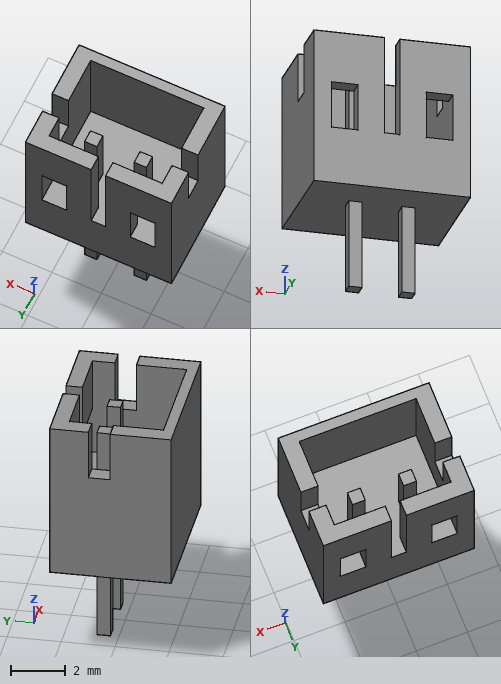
import cadquery as cq

WIDTH = 5.9
DEPTH = 4.5
TOTAL_HEIGHT = 9.4
TAIL_LENGTH = 3.4
HOUSING_HEIGHT = TOTAL_HEIGHT - TAIL_LENGTH
FLOOR_THICKNESS = 2.2
CAVITY_HEIGHT = HOUSING_HEIGHT - FLOOR_THICKNESS

SIDE_WALL = 0.67
FRONT_WALL = 0.4
BACK_WALL = 0.61
CAVITY_WIDTH = WIDTH - 2 * SIDE_WALL
CAVITY_DEPTH = DEPTH - FRONT_WALL - BACK_WALL
FRONT_Y = -DEPTH / 2
BACK_Y = DEPTH / 2

KEY_SLOT_WIDTH = 0.58
NOTCH_WIDTH = 0.8
NOTCH_DEPTH = 1.9
NOTCH_SETBACK = 1.44
NOTCH_BACK_Y = BACK_Y - NOTCH_SETBACK
WINDOW_WIDTH = 1.0
WINDOW_HEIGHT = 1.805

CONTACT_SIZE = 0.5
CONTACT_PITCH = 2.0
CONTACT_Y = NOTCH_BACK_Y - CONTACT_SIZE / 2
CONTACT_X_POSITIONS = (-CONTACT_PITCH / 2, CONTACT_PITCH / 2)
POST_TOP_GAP = 0.96
POST_LENGTH = CAVITY_HEIGHT - POST_TOP_GAP


def block(width, depth, height, x, y, bottom_z):
    """Box centred on (x, y) and standing on bottom_z."""
    solid = cq.Workplane("XY").box(width, depth, height, centered=(True, True, False))
    return solid.translate((x, y, bottom_z))


def make_cavity():
    center_y = FRONT_Y + FRONT_WALL + CAVITY_DEPTH / 2
    return block(CAVITY_WIDTH, CAVITY_DEPTH, CAVITY_HEIGHT, 0, center_y, FLOOR_THICKNESS)


def make_key_slot():
    """Slot through the back wall, from the rim down to the floor."""
    return block(KEY_SLOT_WIDTH, BACK_WALL, CAVITY_HEIGHT, 0, BACK_Y - BACK_WALL / 2, FLOOR_THICKNESS)


def make_side_notches():
    """One cut across the housing that notches both side walls."""
    center_y = NOTCH_BACK_Y - NOTCH_WIDTH / 2
    return block(WIDTH, NOTCH_WIDTH, NOTCH_DEPTH, 0, center_y, HOUSING_HEIGHT - NOTCH_DEPTH)


def make_back_window(side):
    """Window in the back wall at a cavity corner: side is -1 or +1 along X."""
    center_x = side * (CAVITY_WIDTH - WINDOW_WIDTH) / 2
    return block(WINDOW_WIDTH, BACK_WALL, WINDOW_HEIGHT, center_x, BACK_Y - BACK_WALL / 2, FLOOR_THICKNESS)


def make_housing():
    body = block(WIDTH, DEPTH, HOUSING_HEIGHT, 0, 0, 0)
    body = body.cut(make_cavity())
    body = body.cut(make_key_slot())
    body = body.cut(make_side_notches())
    for side in (-1, 1):
        body = body.cut(make_back_window(side))
    return body


def make_post(x):
    """Contact post standing on the cavity floor."""
    return block(CONTACT_SIZE, CONTACT_SIZE, POST_LENGTH, x, CONTACT_Y, FLOOR_THICKNESS)


def make_tail(x):
    """Solder tail hanging from the housing underside."""
    return block(CONTACT_SIZE, CONTACT_SIZE, TAIL_LENGTH, x, CONTACT_Y, -TAIL_LENGTH)


housing = make_housing()
posts = [make_post(x).val() for x in CONTACT_X_POSITIONS]
tails = [make_tail(x).val() for x in CONTACT_X_POSITIONS]

result = cq.Compound.makeCompound([housing.val(), *posts, *tails])